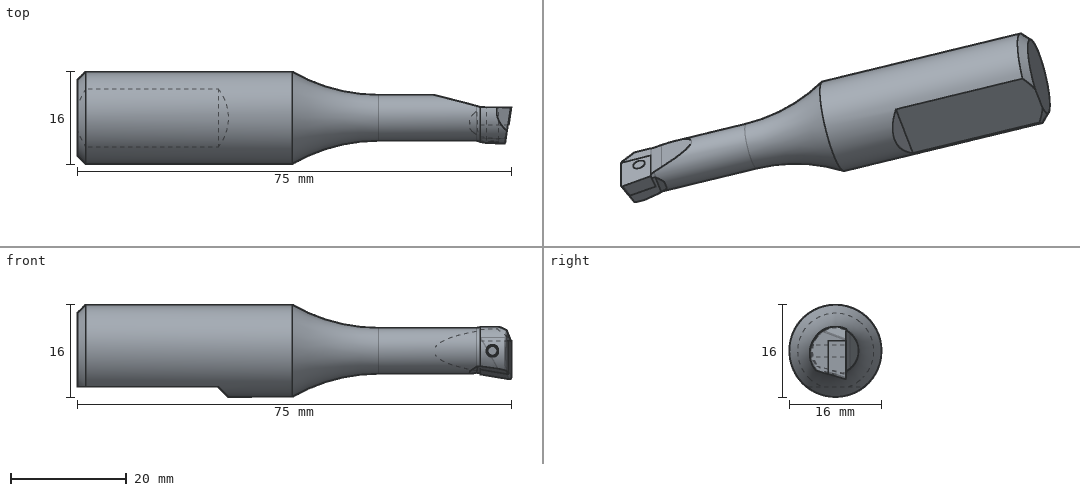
import cadquery as cq


length = 75.0
shank_radius = 7.99
shank_end = 37.1
rear_chamfer = 1.4
flat_z = -6.2
flat_length = 24.3

neck_radius = shank_radius / 2
neck_start = 52.0
shoulder_run = neck_start - shank_end
shoulder_drop = shank_radius - neck_radius
shoulder_radius = (shoulder_run**2 + shoulder_drop**2) / (2 * shoulder_drop)

collar_start = 68.9
head_start = 69.6
collar_radius = 4.1
head_radius = 4.2
lower_head_radius = 4.46
lower_head_drop = 0.45
flare_slope = 0.18
head_end_fillet = 0.2
holder_setback = 0.15

flute_start = 61.6
flute_bend_x = 67.5
flute_bend_y = 2.5
rake_start_y = 1.9
rake_end_y = 1.8

end_slope = 0.15

clearance_start = 69.9
clearance_z = -4.1
clearance_slope_x = 0.17
clearance_slope_y = 0.28
clearance_runout_start = 67.7
clearance_runout_end = collar_start
clearance_runout_depth = 0.75

corner_x = 72.6
corner_normal = (0.6, 0.2, 0.77)

nose_radius = 0.4
insert_bottom_y = -1.2
insert_top_z = 1.7
insert_blank_bottom_z = -5.25
screw_x = 71.7
screw_radius = 1.05
screw_chamfer = 0.2
screw_end_y = -4.3

oversize = 30.0


def half_space(point, normal):
    """Block that fills the side of a plane its normal points to."""
    return cq.Workplane(cq.Plane(origin=point, normal=normal)).rect(oversize, oversize).extrude(oversize)


def x_cylinder(radius, start, end, center_z=0):
    plane = cq.Plane(origin=(start, 0, center_z), xDir=(0, 1, 0), normal=(1, 0, 0))
    return cq.Workplane(plane).circle(radius).extrude(end - start)


def end_cutter(end_x):
    return half_space((end_x, rake_end_y, 0), (1, -end_slope, 0))


def corner_cutter():
    return half_space((corner_x, 0, head_radius), corner_normal)


def flute_cutter():
    """Ramp, arc and shallow rake face, open to +Y."""
    return (
        cq.Workplane("XY", origin=(0, 0, -oversize / 2))
        .moveTo(flute_start, neck_radius)
        .lineTo(flute_bend_x, flute_bend_y)
        .tangentArcPoint((head_start, rake_start_y), relative=False)
        .lineTo(length, rake_end_y)
        .lineTo(length, oversize)
        .lineTo(flute_start, oversize)
        .close()
        .extrude(oversize)
    )


def clearance_cutter():
    """Sloping clearance plane under the head, with a ramped runout towards the neck."""
    along = cq.Vector(1, 0, -clearance_slope_x)
    outward = cq.Vector(-clearance_slope_x, -clearance_slope_y, -1)
    plane = cq.Plane(
        origin=(clearance_start, rake_end_y, clearance_z), xDir=along, normal=along.cross(outward)
    )
    return (
        cq.Workplane(plane)
        .moveTo(clearance_runout_end - clearance_start, 0)
        .lineTo(oversize, 0)
        .lineTo(oversize, oversize)
        .lineTo(clearance_runout_start - clearance_start, oversize)
        .lineTo(clearance_runout_start - clearance_start, clearance_runout_depth)
        .close()
        .extrude(oversize / 2, both=True)
    )


def make_bar():
    """Turned shank, shoulder, neck and collar."""
    mid_run = shoulder_run / 2
    arc_mid_radius = neck_radius + shoulder_radius - (shoulder_radius**2 - mid_run**2) ** 0.5
    return (
        cq.Workplane("XZ")
        .lineTo(0, shank_radius - rear_chamfer)
        .lineTo(rear_chamfer, shank_radius)
        .lineTo(shank_end, shank_radius)
        .threePointArc((shank_end + mid_run, arc_mid_radius), (neck_start, neck_radius))
        .lineTo(collar_start, neck_radius)
        .lineTo(head_start, collar_radius)
        .lineTo(head_start, 0)
        .close()
        .revolve(360, (0, 0, 0), (1, 0, 0))
    )


def make_head():
    """Two-cylinder head with its flare, slanted corner and rounded end."""
    head_length = length - head_start
    flare = (
        cq.Workplane("XZ", origin=(head_start, 0, 0))
        .lineTo(0, head_radius)
        .lineTo(head_length, head_radius + flare_slope * head_length)
        .lineTo(head_length, 0)
        .close()
        .revolve(360, (0, 0, 0), (1, 0, 0))
    )
    lower = x_cylinder(lower_head_radius, head_start, length, -lower_head_drop).intersect(flare)
    return (
        x_cylinder(head_radius, head_start, length)
        .union(lower)
        .cut(end_cutter(length - holder_setback))
        .cut(corner_cutter())
        .faces(cq.selectors.DirectionMinMaxSelector(cq.Vector(1, -end_slope, 0), True))
        .edges()
        .fillet(head_end_fillet)
    )


def flat_cutter():
    """Clamping flat that ends in a 45 degree ramp."""
    return (
        cq.Workplane("XZ", origin=(0, oversize / 2, 0))
        .moveTo(0, flat_z)
        .lineTo(flat_length, flat_z)
        .lineTo(flat_length + oversize, flat_z - oversize)
        .lineTo(0, flat_z - oversize)
        .close()
        .extrude(oversize)
    )


def insert_blank():
    """Block that fills the insert pocket, before its outer faces are cut."""
    return cq.Workplane("XY", origin=(head_start, insert_bottom_y, insert_blank_bottom_z)).box(
        length - head_start,
        rake_start_y - insert_bottom_y,
        insert_top_z - insert_blank_bottom_z,
        centered=False,
    )


def make_screw():
    return (
        cq.Workplane("XZ", origin=(screw_x, oversize, 0))
        .circle(screw_radius)
        .extrude(oversize - screw_end_y)
        .faces("<Y")
        .chamfer(screw_chamfer)
        .cut(flute_cutter())
    )


def screw_hole():
    return cq.Workplane("XZ", origin=(screw_x, oversize / 2, 0)).circle(screw_radius).extrude(oversize)


def make_holder():
    return (
        make_bar()
        .union(make_head())
        .cut(flat_cutter())
        .cut(flute_cutter())
        .cut(clearance_cutter())
        .cut(insert_blank())
        .cut(screw_hole())
    )


def make_insert():
    return (
        insert_blank()
        .cut(flute_cutter())
        .cut(end_cutter(length))
        .cut(clearance_cutter())
        .edges(cq.selectors.NearestToPointSelector((length, 0, insert_blank_bottom_z)))
        .fillet(nose_radius)
        .cut(screw_hole())
    )


holder = make_holder().solids()
insert = make_insert().solids()
screw = make_screw().solids()

result = cq.Compound.makeCompound([holder.val(), insert.val(), screw.val()])